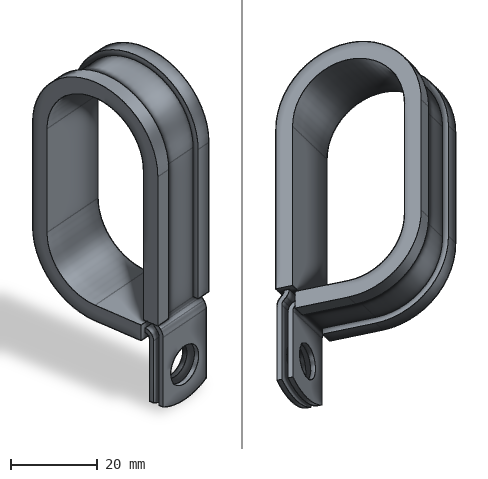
import cadquery as cq
import math


OVERALL_HEIGHT = 84.35
CUSHION_WIDTH = 18.92
CUSHION_THICKNESS = 4.3
INNER_RADIUS = 14.25
OUTER_RADIUS = INNER_RADIUS + CUSHION_THICKNESS
STRAIGHT_LENGTH = 2 * INNER_RADIUS
BOTTOM_LEG_END_X = 13.6
RIGHT_LEG_END_Z = -12.55

GROOVE_WIDTH = 10.9
GROOVE_DEPTH = 1.5
GROOVE_RADIUS = OUTER_RADIUS - GROOVE_DEPTH

BAND_WIDTH = 16.0
BAND_THICKNESS = 1.25
BAND_INNER_RADIUS = GROOVE_RADIUS - BAND_THICKNESS
TAB_BOTTOM_Z = STRAIGHT_LENGTH + OUTER_RADIUS - OVERALL_HEIGHT
TAB_TIP_RISE = 1.9

INNER_TAB_OUTER_X = 16.1
BEND_OUTER_RADIUS = INNER_TAB_OUTER_X - BOTTOM_LEG_END_X
BEND_INNER_RADIUS = BEND_OUTER_RADIUS - BAND_THICKNESS
BEND_CENTRE_Z = -BAND_INNER_RADIUS - BEND_OUTER_RADIUS

OUTER_TAB_OUTER_X = 18.93
STEP_ANGLE = math.radians(43)
STEP_INNER_RADIUS = 1.5
STEP_OUTER_RADIUS = STEP_INNER_RADIUS + BAND_THICKNESS

HOLE_ABOVE_TIP = 9.55
INNER_TAB_HOLE_DIAMETER = 8.7
OUTER_TAB_HOLE_DIAMETER = 10.3


def extrude_across(profile, width):
    """Extrude an XZ profile symmetrically about the middle of the width."""
    return profile.extrude(width / 2, both=True)


def loop_strip(inner_radius, outer_radius, width):
    """J-shaped strip: right leg, top bend, left side, lower-left bend and bottom leg."""
    profile = (
        cq.Workplane("XZ")
        .moveTo(outer_radius, RIGHT_LEG_END_Z)
        .lineTo(outer_radius, STRAIGHT_LENGTH)
        .threePointArc((0, STRAIGHT_LENGTH + outer_radius), (-outer_radius, STRAIGHT_LENGTH))
        .lineTo(-outer_radius, 0)
        .radiusArc((0, -outer_radius), -outer_radius)
        .lineTo(BOTTOM_LEG_END_X, -outer_radius)
        .lineTo(BOTTOM_LEG_END_X, -inner_radius)
        .lineTo(0, -inner_radius)
        .radiusArc((-inner_radius, 0), inner_radius)
        .lineTo(-inner_radius, STRAIGHT_LENGTH)
        .threePointArc((0, STRAIGHT_LENGTH + inner_radius), (inner_radius, STRAIGHT_LENGTH))
        .lineTo(inner_radius, RIGHT_LEG_END_Z)
        .close()
    )
    return extrude_across(profile, width)


def cushion():
    """Cushion loop with the groove cut around its outside."""
    groove = loop_strip(GROOVE_RADIUS, OUTER_RADIUS, GROOVE_WIDTH)
    return loop_strip(INNER_RADIUS, OUTER_RADIUS, CUSHION_WIDTH).cut(groove)


def tab_outline(hole_diameter):
    """Block that trims a tab: straight sides, arched bottom edge and bolt hole."""
    half_width = BAND_WIDTH / 2
    corner_z = TAB_BOTTOM_Z + TAB_TIP_RISE
    block = (
        cq.Workplane("YZ")
        .moveTo(-half_width, 0)
        .lineTo(-half_width, corner_z)
        .threePointArc((0, TAB_BOTTOM_Z), (half_width, corner_z))
        .lineTo(half_width, 0)
        .close()
        .extrude(OUTER_TAB_OUTER_X)
    )
    hole = (
        cq.Workplane("YZ")
        .center(0, TAB_BOTTOM_Z + HOLE_ABOVE_TIP)
        .circle(hole_diameter / 2)
        .extrude(OUTER_TAB_OUTER_X)
    )
    return block.cut(hole)


def inner_tab():
    """Band end that leaves the bottom leg and bends straight down."""
    inner_face_x = INNER_TAB_OUTER_X - BAND_THICKNESS
    profile = (
        cq.Workplane("XZ")
        .moveTo(BOTTOM_LEG_END_X, -BAND_INNER_RADIUS)
        .radiusArc((INNER_TAB_OUTER_X, BEND_CENTRE_Z), BEND_OUTER_RADIUS)
        .lineTo(INNER_TAB_OUTER_X, TAB_BOTTOM_Z)
        .lineTo(inner_face_x, TAB_BOTTOM_Z)
        .lineTo(inner_face_x, BEND_CENTRE_Z)
        .radiusArc((BOTTOM_LEG_END_X, -GROOVE_RADIUS), -BEND_INNER_RADIUS)
        .close()
    )
    return extrude_across(profile, BAND_WIDTH).intersect(tab_outline(INNER_TAB_HOLE_DIAMETER))


def outer_tab():
    """Band end that leaves the right leg, steps outward and hangs down."""
    inner_face_x = OUTER_TAB_OUTER_X - BAND_THICKNESS
    cos_step = math.cos(STEP_ANGLE)
    sin_step = math.sin(STEP_ANGLE)

    step_width = OUTER_TAB_OUTER_X - GROOVE_RADIUS
    bends_width = (STEP_INNER_RADIUS + STEP_OUTER_RADIUS) * (1 - cos_step)
    slope_length = (step_width - bends_width) / sin_step
    bends_height = (STEP_INNER_RADIUS + STEP_OUTER_RADIUS) * sin_step
    step_bottom_z = RIGHT_LEG_END_Z - bends_height - slope_length * cos_step

    upper_x = GROOVE_RADIUS + STEP_INNER_RADIUS
    lower_x = OUTER_TAB_OUTER_X - STEP_OUTER_RADIUS

    def on_upper_bend(radius):
        return (upper_x - radius * cos_step, RIGHT_LEG_END_Z - radius * sin_step)

    def on_lower_bend(radius):
        return (lower_x + radius * cos_step, step_bottom_z + radius * sin_step)

    profile = (
        cq.Workplane("XZ")
        .moveTo(GROOVE_RADIUS, RIGHT_LEG_END_Z)
        .radiusArc(on_upper_bend(STEP_INNER_RADIUS), -STEP_INNER_RADIUS)
        .lineTo(*on_lower_bend(STEP_OUTER_RADIUS))
        .radiusArc((OUTER_TAB_OUTER_X, step_bottom_z), STEP_OUTER_RADIUS)
        .lineTo(OUTER_TAB_OUTER_X, TAB_BOTTOM_Z)
        .lineTo(inner_face_x, TAB_BOTTOM_Z)
        .lineTo(inner_face_x, step_bottom_z)
        .radiusArc(on_lower_bend(STEP_INNER_RADIUS), -STEP_INNER_RADIUS)
        .lineTo(*on_upper_bend(STEP_OUTER_RADIUS))
        .radiusArc((BAND_INNER_RADIUS, RIGHT_LEG_END_Z), STEP_OUTER_RADIUS)
        .close()
    )
    return extrude_across(profile, BAND_WIDTH).intersect(tab_outline(OUTER_TAB_HOLE_DIAMETER))


result = cushion().union(inner_tab()).union(outer_tab())